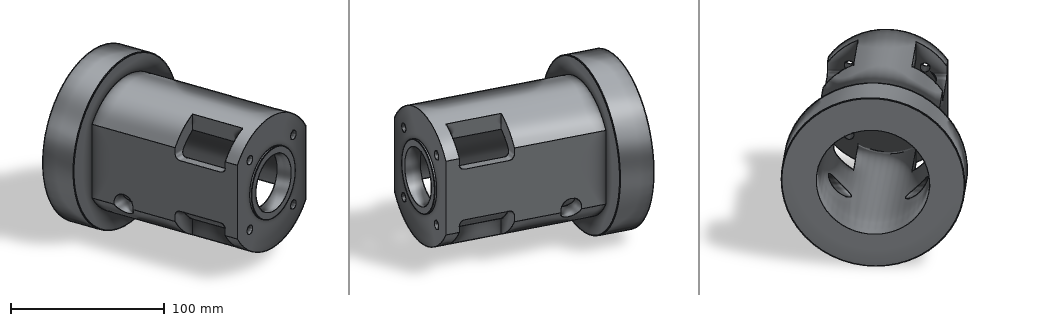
import cadquery as cq

total_length = 142.0
flange_diameter = 120.0
flange_thickness = 25.0
flange_chamfer = 0.5
body_diameter = 94.0
width_across_flats = 78.0

boss_diameter = 50.0
boss_height = 1.5
boss_chamfer = 0.3
body_end = total_length - boss_height

end_wall_thickness = 9.7
bore_diameter = 74.0
bore_depth = body_end - end_wall_thickness
bore_corner_radius = 1.0
center_hole_diameter = 40.0
small_hole_diameter = 6.2
small_hole_spacing = 49.5

cross_hole_diameter = 15.0
cross_hole_x = 50.0
cross_hole_z = -25.0

window_length = 39.8
window_inner_y = 19.0
window_inner_z = 18.0
window_corner_radius = 4.0


def cylinder_along_x(diameter, start, end):
    return cq.Workplane("YZ", origin=(start, 0, 0)).circle(diameter / 2).extrude(end - start)


def make_flanged_body():
    flange = cylinder_along_x(flange_diameter, 0, flange_thickness).edges().chamfer(flange_chamfer)
    flats = cq.Workplane("XY").box(
        total_length, width_across_flats, body_diameter, centered=(False, True, True)
    )
    body = cylinder_along_x(body_diameter, 0, body_end).intersect(flats)
    boss = cylinder_along_x(boss_diameter, bore_depth, total_length).faces(">X").edges().chamfer(boss_chamfer)
    return flange.union(body).union(boss)


def make_bore():
    return cylinder_along_x(bore_diameter, 0, bore_depth).faces(">X").edges().fillet(bore_corner_radius)


def make_end_wall_holes():
    center_hole = cylinder_along_x(center_hole_diameter, 0, total_length)
    small_holes = (
        cq.Workplane("YZ", origin=(bore_depth, 0, 0))
        .rect(small_hole_spacing, small_hole_spacing, forConstruction=True)
        .vertices()
        .circle(small_hole_diameter / 2)
        .extrude(end_wall_thickness)
    )
    return center_hole.union(small_holes)


def make_cross_hole():
    return (
        cq.Workplane("XZ")
        .center(cross_hole_x, cross_hole_z)
        .circle(cross_hole_diameter / 2)
        .extrude(flange_diameter / 2, both=True)
    )


def make_window(y_side, z_side):
    """Corner-shaped cutter whose floor is rounded at both ends; the sides are +1 or -1."""
    reach = body_diameter / 2
    depth_y = reach - window_inner_y
    depth_z = reach - window_inner_z
    center = (
        bore_depth - window_length / 2,
        y_side * (window_inner_y + depth_y / 2),
        z_side * (window_inner_z + depth_z / 2),
    )
    floor = "<Z" if z_side > 0 else ">Z"
    return (
        cq.Workplane("XY")
        .box(window_length, depth_y, depth_z)
        .faces(floor)
        .edges("|Y")
        .fillet(window_corner_radius)
        .translate(center)
    )


result = make_flanged_body().cut(make_bore()).cut(make_end_wall_holes()).cut(make_cross_hole())
for y_side in (-1, 1):
    for z_side in (-1, 1):
        result = result.cut(make_window(y_side, z_side))